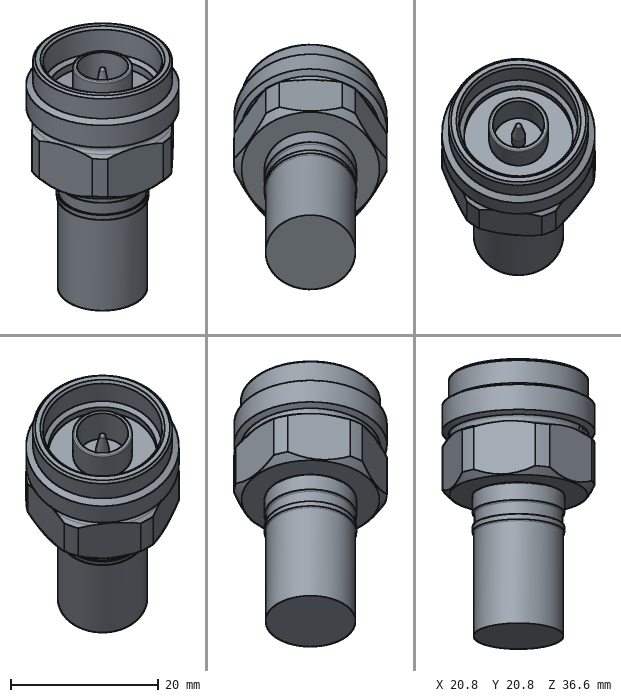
import cadquery as cq
import math

total_height = 36.6

collar_radius = 6.25
collar_groove_radius = 6.0
rib_bottom = 14.7
rib_top = 15.5
collar_groove_top = 17.45
root_fillet = 0.15
sleeve_radius = collar_radius - root_fillet
collar_top = 19.9
neck_radius = 5.93

nut_sides = 6
nut_radius = 10.4
across_flats = 18.95
nut_bottom = 20.1
nut_bottom_chamfer = 1.02
nut_corner_top = 27.15

groove_z = 28.15
groove_arc_radius = 0.62
groove_floor_radius = 9.35
groove_lower_radius = 9.77
groove_upper_radius = 9.5

rim_radius = across_flats / 2
ring_bottom = 29.02
ring_top = 32.57
ring_cone_top = 33.1
rim_chamfer = 0.33

bore_radius = 8.1
bore_chamfer = 0.35
bore_step_z = 32.43
inner_bore_radius = 7.4
inner_bore_top = 32.0
bore_floor = 30.85

tube_radius = 4.03
tube_bore_radius = 3.48
tube_top = 35.5
tube_fillet = 0.2
tube_floor = 30.0
pin_radius = 0.9
pin_cone_bottom = 32.02
pin_tip_radius = 0.4
pin_top = 35.3
pin_cone_top = pin_top - pin_tip_radius


def revolve_about_z(profile):
    return profile.close().revolve(360, (0, 0, 0), (0, 1, 0))


def groove_edge_offset(radius):
    """Height from the groove centre plane to the point where its arc has this radius."""
    arc_centre_radius = groove_floor_radius + groove_arc_radius
    return math.sqrt(groove_arc_radius**2 - (arc_centre_radius - radius) ** 2)


def root_fillet_points(radius, shoulder_z):
    """Middle and end of the fillet from a cylinder up to the shoulder above it."""
    mid_offset = root_fillet * (1 - math.sqrt(0.5))
    middle = (radius + mid_offset, shoulder_z - mid_offset)
    end = (radius + root_fillet, shoulder_z)
    return middle, end


def make_turned_body():
    """Outer shape of the whole connector, before the hexagon flats are cut."""
    groove_bottom = groove_z - groove_edge_offset(groove_lower_radius)
    groove_top = groove_z + groove_edge_offset(groove_upper_radius)
    profile = (
        cq.Workplane("XZ")
        .moveTo(0, 0)
        .lineTo(sleeve_radius, 0)
        .lineTo(sleeve_radius, rib_bottom - root_fillet)
        .threePointArc(*root_fillet_points(sleeve_radius, rib_bottom))
        .lineTo(collar_radius, rib_top)
        .lineTo(collar_groove_radius, rib_top)
        .lineTo(collar_groove_radius, collar_groove_top - root_fillet)
        .threePointArc(*root_fillet_points(collar_groove_radius, collar_groove_top))
        .lineTo(collar_radius, collar_groove_top)
        .lineTo(collar_radius, collar_top)
        .lineTo(neck_radius, collar_top)
        .lineTo(neck_radius, nut_bottom)
        .lineTo(nut_radius - nut_bottom_chamfer, nut_bottom)
        .lineTo(nut_radius, nut_bottom + nut_bottom_chamfer)
        .lineTo(nut_radius, nut_corner_top)
        .lineTo(groove_lower_radius, groove_bottom)
        .threePointArc((groove_floor_radius, groove_z), (groove_upper_radius, groove_top))
        .lineTo(nut_radius, ring_bottom)
        .lineTo(nut_radius, ring_top)
        .lineTo(rim_radius, ring_cone_top)
        .lineTo(rim_radius, total_height - rim_chamfer)
        .lineTo(rim_radius - rim_chamfer, total_height)
        .lineTo(0, total_height)
    )
    return revolve_about_z(profile)


def make_flats_cutter():
    """Material outside the hexagon, with flats facing -Y and +Y."""
    height = groove_z - nut_bottom
    across_corners = across_flats / math.cos(math.pi / nut_sides)
    return (
        cq.Workplane("XY")
        .workplane(offset=nut_bottom)
        .circle(across_corners)
        .polygon(nut_sides, across_corners)
        .extrude(height)
    )


def make_bore():
    """Stepped front bore, leaving room for the tube and pin."""
    profile = (
        cq.Workplane("XZ")
        .moveTo(0, bore_floor)
        .lineTo(inner_bore_radius, bore_floor)
        .lineTo(inner_bore_radius, inner_bore_top)
        .lineTo(bore_radius, bore_step_z)
        .lineTo(bore_radius, total_height - bore_chamfer)
        .lineTo(bore_radius + bore_chamfer, total_height)
        .lineTo(0, total_height)
    )
    return revolve_about_z(profile)


def make_tube_cylinder(radius):
    return cq.Workplane("XY").workplane(offset=tube_floor).circle(radius).extrude(tube_top - tube_floor)


def make_tube():
    """Outer contact blank, with its top edge rounded."""
    return make_tube_cylinder(tube_radius).faces(">Z").edges().fillet(tube_fillet)


def make_tube_bore():
    return make_tube_cylinder(tube_bore_radius)


def make_pin():
    """Tapered centre contact with a rounded tip."""
    tip_mid = pin_tip_radius * math.sqrt(0.5)
    profile = (
        cq.Workplane("XZ")
        .moveTo(0, tube_floor)
        .lineTo(pin_radius, tube_floor)
        .lineTo(pin_radius, pin_cone_bottom)
        .lineTo(pin_tip_radius, pin_cone_top)
        .threePointArc((tip_mid, pin_cone_top + tip_mid), (0, pin_top))
    )
    return revolve_about_z(profile)


body = make_turned_body().cut(make_flats_cutter()).cut(make_bore())
result = body.union(make_tube()).cut(make_tube_bore()).union(make_pin())